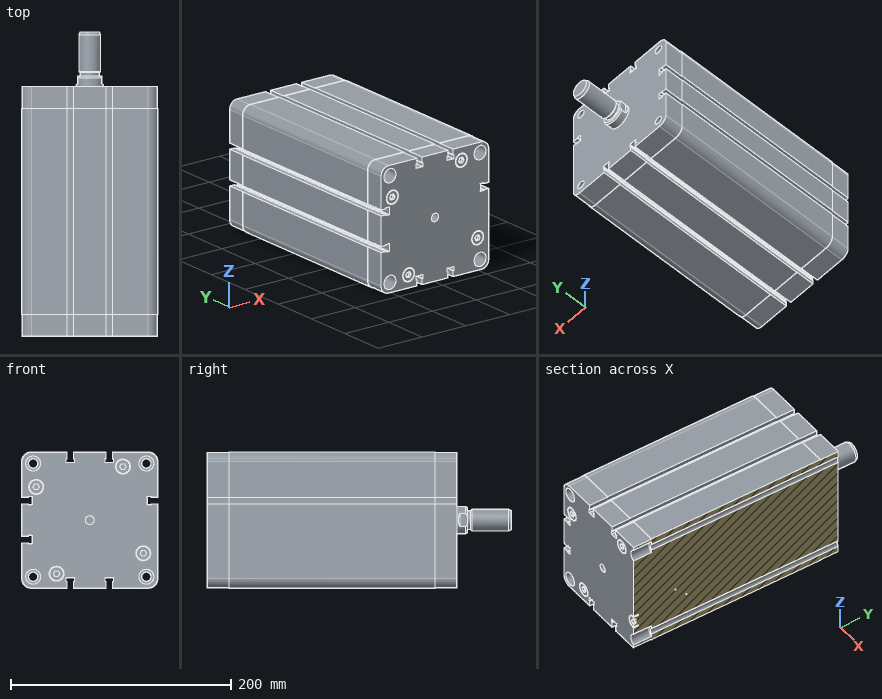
import cadquery as cq

total_length = 276.5
rod_length = 49.5
body_width = 124.0
body_corner_radius = 8.8
cap_width = 123.0
cap_length = 20.0
cap_corner_radius = body_corner_radius - (body_width - cap_width) / 2

front_y = -total_length / 2
tip_y = total_length / 2
housing_length = total_length - rod_length
rear_y = front_y + housing_length

slot_offset = 17.7
slot_mouth_width = 5.8
slot_mouth_depth = 5.8
slot_foot_width = 7.5
slot_depth = 9.5

mount_offset = 51.5
mount_hole_diameter = 8.3
mount_bore_diameter = 13.5
mount_bore_depth = cap_length
port_diameter = 8.0
port_depth = cap_length

screw_far_offset = 48.7
screw_near_offset = 30.1
screw_bore_diameter = 13.5
screw_head_diameter = 12.5
screw_gap_depth = 5.5
socket_corner_diameter = 5.8
socket_depth = 2.8

thread_diameter = 20.0
thread_length = 36.0
tip_chamfer_length = 2.8
thread_runout_length = 1.0
neck_diameter = 17.5
neck_length = 4.1
collar_diameter = 25.0
collar_chamfer_length = 1.7
collar_chamfer_height = 0.8

flat_spacing = 21.8
flat_length = 6.5
flat_depth = (collar_diameter - flat_spacing) / 2


def plane_at(y):
    """XZ sketch plane at the given Y; a negative extrusion goes toward +Y."""
    return cq.Workplane("XZ", origin=(0, y, 0))


def make_slot(width, y, length, offset, angle):
    """T slot cut from the +Z side at X = offset, then turned about Y by angle degrees."""
    surface = width / 2
    foot_depth = slot_depth - slot_mouth_depth
    mouth = (
        plane_at(y)
        .center(offset, surface - slot_depth / 2)
        .rect(slot_mouth_width, slot_depth)
        .extrude(-length)
    )
    foot = (
        plane_at(y)
        .center(offset, surface - slot_depth + foot_depth / 2)
        .rect(slot_foot_width, foot_depth)
        .extrude(-length)
    )
    return mouth.union(foot).rotate((0, 0, 0), (0, 1, 0), angle)


def make_section(width, corner_radius, y, length):
    """Rounded square block with its slots measured from its own side faces."""
    section = plane_at(y).rect(width, width).extrude(-length).edges("|Y").fillet(corner_radius)

    for angle in (0, 90, 180, 270):
        for offset in (-slot_offset, slot_offset):
            is_lower_right = angle == 90 and offset > 0
            if not is_lower_right:
                section = section.cut(make_slot(width, y, length, offset, angle))
    return section


def make_housing():
    """Barrel between two slightly narrower end caps."""
    barrel_length = housing_length - 2 * cap_length
    front_cap = make_section(cap_width, cap_corner_radius, front_y, cap_length)
    barrel = make_section(body_width, body_corner_radius, front_y + cap_length, barrel_length)
    rear_cap = make_section(cap_width, cap_corner_radius, rear_y - cap_length, cap_length)
    return front_cap.union(barrel).union(rear_cap)


def make_front_holes():
    """Counterbored corner holes through the housing and the blind centre port."""
    spacing = 2 * mount_offset
    corners = plane_at(front_y).rect(spacing, spacing, forConstruction=True).vertices()
    holes = corners.circle(mount_hole_diameter / 2).extrude(-housing_length)
    bores = corners.circle(mount_bore_diameter / 2).extrude(-mount_bore_depth)
    port = plane_at(front_y).circle(port_diameter / 2).extrude(-port_depth)
    return holes.union(bores).union(port)


def make_screw_recesses():
    """Ring gap and hexagon socket of each cap screw, repeated every quarter turn."""
    far = screw_far_offset
    near = screw_near_offset
    screws = plane_at(front_y).pushPoints([(near, far), (far, -near), (-near, -far), (-far, near)])
    gaps = (
        screws.circle(screw_bore_diameter / 2)
        .circle(screw_head_diameter / 2)
        .extrude(-screw_gap_depth)
    )
    sockets = screws.polygon(6, socket_corner_diameter).extrude(-socket_depth)
    return gaps.union(sockets)


def make_rod():
    """Turned rod profile (radius, Y), with a flat milled on each X side of the collar."""
    thread_end_y = tip_y - thread_length
    collar_end_y = thread_end_y - neck_length
    thread_radius = thread_diameter / 2
    neck_radius = neck_diameter / 2
    collar_radius = collar_diameter / 2
    profile = [
        (0, rear_y),
        (collar_radius, rear_y),
        (collar_radius, collar_end_y - collar_chamfer_length),
        (collar_radius - collar_chamfer_height, collar_end_y),
        (neck_radius, collar_end_y),
        (neck_radius, thread_end_y - thread_runout_length),
        (thread_radius, thread_end_y),
        (thread_radius, tip_y - tip_chamfer_length),
        (neck_radius, tip_y),
        (0, tip_y),
    ]
    rod = cq.Workplane("XY").polyline(profile).close().revolve(360, (0, 0, 0), (0, 1, 0))

    flat_x = flat_spacing / 2
    flat_start_y = collar_end_y - flat_length
    flat_cut = (
        cq.Workplane("XY")
        .moveTo(flat_x, collar_end_y)
        .lineTo(flat_x, flat_start_y)
        .lineTo(flat_x + flat_depth, flat_start_y - flat_depth)
        .lineTo(flat_x + flat_depth, collar_end_y)
        .close()
        .extrude(collar_radius, both=True)
    )
    return rod.cut(flat_cut).cut(flat_cut.mirror("YZ"))


result = (
    make_housing()
    .cut(make_front_holes())
    .cut(make_screw_recesses())
    .union(make_rod())
)